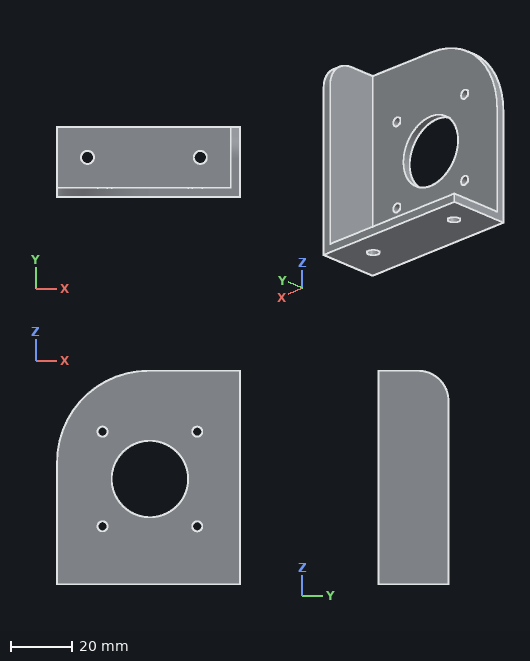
import cadquery as cq

width = 60.0
depth = 23.0
height = 70.0
thickness = 3.0

face_corner_radius = 30.0
side_corner_radius = 10.0

motor_x = 30.45
motor_z = 34.5
pilot_diameter = 25.0
motor_screw_diameter = 3.2
motor_screw_spacing = 31.0

base_screw_diameter = 4.2
base_screw_xs = (10.0, 47.0)
base_screw_y = (depth + thickness) / 2


def face_plate():
    """Upright plate at the front, rounded at its upper -X corner, with the motor holes."""
    plate = cq.Workplane("XY").box(width, thickness, height, centered=False)
    plate = plate.faces("<X").edges(">Z").fillet(face_corner_radius)
    motor_axis = cq.Workplane("XZ").center(motor_x, motor_z)
    pilot = motor_axis.circle(pilot_diameter / 2).extrude(-thickness)
    screws = (
        motor_axis.rect(motor_screw_spacing, motor_screw_spacing, forConstruction=True)
        .vertices()
        .circle(motor_screw_diameter / 2)
        .extrude(-thickness)
    )
    return plate.cut(pilot).cut(screws)


def base_plate():
    """Horizontal foot with two screw holes."""
    plate = cq.Workplane("XY").box(width, depth, thickness, centered=False)
    screws = (
        cq.Workplane("XY")
        .pushPoints([(x, base_screw_y) for x in base_screw_xs])
        .circle(base_screw_diameter / 2)
        .extrude(thickness)
    )
    return plate.cut(screws)


def side_plate():
    """Upright wall on the +X side, rounded at its upper rear corner."""
    plate = cq.Workplane("XY").box(thickness, depth, height, centered=False)
    plate = plate.faces(">Y").edges(">Z").fillet(side_corner_radius)
    return plate.translate((width - thickness, 0, 0))


result = face_plate().union(base_plate()).union(side_plate())